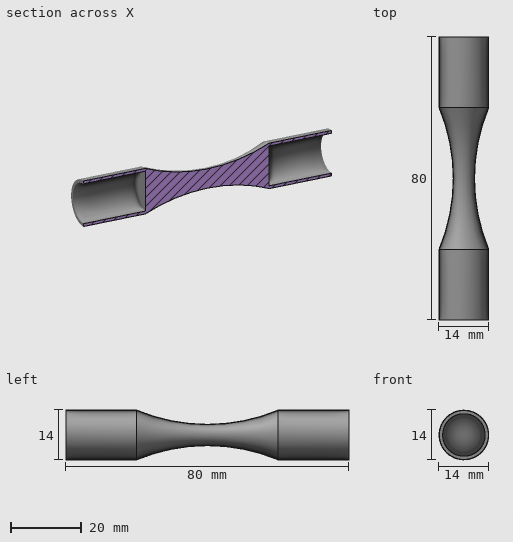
import cadquery as cq

total_length = 80.0
socket_length = 20.0
outer_diameter = 14.0
bore_diameter = 12.0
waist_diameter = 6.0

half_length = total_length / 2
neck_half_length = half_length - socket_length
outer_radius = outer_diameter / 2
waist_radius = waist_diameter / 2

body = (
    cq.Workplane("XY")
    .moveTo(0, -half_length)
    .lineTo(outer_radius, -half_length)
    .lineTo(outer_radius, -neck_half_length)
    .threePointArc((waist_radius, 0), (outer_radius, neck_half_length))
    .lineTo(outer_radius, half_length)
    .lineTo(0, half_length)
    .close()
    .revolve(360, (0, 0, 0), (0, 1, 0))
)


def socket_bore(side):
    """Flat-bottomed bore running from the neck to the end face on one side (-1 or +1 along Y)."""
    return cq.Workplane(
        cq.Solid.makeCylinder(
            bore_diameter / 2,
            socket_length,
            cq.Vector(0, side * neck_half_length, 0),
            cq.Vector(0, side, 0),
        )
    )


result = body
for side in (-1, 1):
    result = result.cut(socket_bore(side))